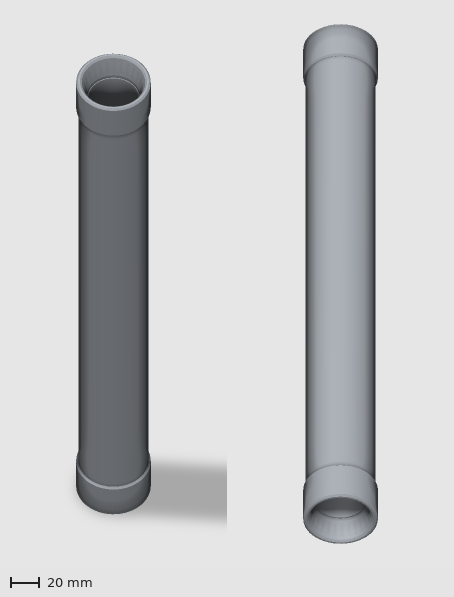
import cadquery as cq

total_length = 440.0
collar_diameter = 52.0
collar_length = 29.5
collar_chamfer = 1.5

tube_diameter = 49.0
bore_diameter = 35.0
tube_length = total_length - 2 * collar_length

mouth_diameter = 44.0
mouth_chamfer = 1.5
socket_floor_diameter = 36.5
socket_depth = 15.5

recess_depth = 2.5


def make_tube():
    """Plain tube that fills the length between the two collars."""
    return (
        cq.Workplane("XY")
        .workplane(offset=collar_length)
        .circle(tube_diameter / 2)
        .circle(bore_diameter / 2)
        .extrude(tube_length)
    )


def make_collar():
    """Collar with its open end at the top, resting against the end of the tube."""
    base = total_length - collar_length
    socket_floor = total_length - socket_depth
    recess_floor = socket_floor - recess_depth
    outer = collar_diameter / 2
    chamfered = outer - collar_chamfer
    profile = [
        (bore_diameter / 2, base),
        (chamfered, base),
        (outer, base + collar_chamfer),
        (outer, total_length - collar_chamfer),
        (chamfered, total_length),
        (mouth_diameter / 2 + mouth_chamfer, total_length),
        (mouth_diameter / 2, total_length - mouth_chamfer),
        (socket_floor_diameter / 2, socket_floor),
        (socket_floor_diameter / 2, recess_floor),
        (bore_diameter / 2, recess_floor),
    ]
    return cq.Workplane("XZ").polyline(profile).close().revolve(360, (0, 0, 0), (0, 1, 0))


tube = make_tube()

collars = []
for flipped in (False, True):
    collar = make_collar()
    if flipped:
        collar = collar.mirror("XY", (0, 0, total_length / 2))
    collars.append(collar.val())

result = cq.Compound.makeCompound([tube.val(), *collars])